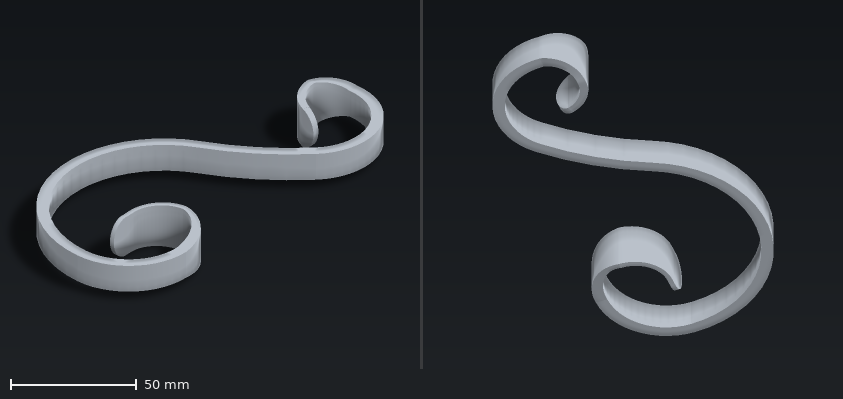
import cadquery as cq
import math

bar_thickness = 5.0
bar_height = 12.0
total_length = 170.0

big_radius = 51.0
lower_radius = 30.0
upper_radius = 29.2
lower_joint_angle = 267.7
upper_joint_angle = -45.0

hook_peak_height = 20.0
hook_tip_height = 17.8
sections_per_quarter = 6

upper_start_radii = (14.0, 14.8)
upper_end_radii = (18.0, 17.3)
upper_peak_thickness = 3.4
upper_tip_thickness = 3.0
upper_tip_start = 68.0

lower_start_radii = (17.8, 21.5)
lower_end_radius = 16.5
lower_peak_thickness = 2.4
lower_tip_thickness = 2.0
lower_tip_start_y = 31.0
lower_tip_end_y = 23.6


def polar(center, radius, angle):
    a = math.radians(angle)
    return (center[0] + radius * math.cos(a), center[1] + radius * math.sin(a))


def bar_arc(center, outer_radius, start, end):
    """Constant-section stretch of bar bent about a center."""
    inner_radius = outer_radius - bar_thickness
    middle = (start + end) / 2
    return (
        cq.Workplane("XY")
        .moveTo(*polar(center, outer_radius, start))
        .threePointArc(polar(center, outer_radius, middle), polar(center, outer_radius, end))
        .lineTo(*polar(center, inner_radius, end))
        .threePointArc(polar(center, inner_radius, middle), polar(center, inner_radius, start))
        .close()
        .extrude(bar_height / 2, both=True)
    )


def section(outer, inner, height):
    """Upright rectangle standing on the line from the outer to the inner point."""
    z = height / 2
    corners = [(*outer, -z), (*inner, -z), (*inner, z), (*outer, z)]
    return cq.Wire.makePolygon([cq.Vector(*c) for c in corners], close=True)


def quarter_sections(center, outer_radii, inner_radii, angles, heights):
    """Sections along an elliptical bend; angle and height change evenly."""
    sections = []
    for i in range(sections_per_quarter + 1):
        share = i / sections_per_quarter
        a = math.radians(angles[0] + share * (angles[1] - angles[0]))
        outer, inner = (
            (center[0] + rx * math.cos(a), center[1] + ry * math.sin(a))
            for rx, ry in (outer_radii, inner_radii)
        )
        sections.append(section(outer, inner, heights[0] + share * (heights[1] - heights[0])))
    return sections


def loft(sections):
    return cq.Workplane(cq.Solid.makeLoft(sections))


def rounded_end(plane, center, length):
    """Elliptical cylinder that rounds a hook tip of the given length."""
    return (
        cq.Workplane(plane)
        .center(center, 0)
        .ellipse(length, hook_tip_height / 2)
        .extrude(total_length, both=True)
    )


big_center = (0.0, big_radius)
upper_center = (0.0, total_length - upper_radius)
lower_center = polar(big_center, big_radius - lower_radius, lower_joint_angle)

link_direction = upper_joint_angle + 180
joint = polar(upper_center, upper_radius, upper_joint_angle)
unit = polar((0, 0), 1, link_direction)
offset = (joint[0] - big_center[0], joint[1] - big_center[1])
big_inner_radius = big_radius - bar_thickness
along = offset[0] * unit[0] + offset[1] * unit[1]
link_radius = (offset[0] ** 2 + offset[1] ** 2 - big_inner_radius ** 2) / (2 * (big_inner_radius - along))
link_center = polar(joint, link_radius, link_direction)
link_end_angle = math.degrees(math.atan2(big_center[1] - link_center[1], big_center[0] - link_center[0]))

bar = (
    bar_arc(lower_center, lower_radius, lower_joint_angle, 360)
    .union(bar_arc(big_center, big_radius, link_end_angle + 180, lower_joint_angle))
    .union(bar_arc(link_center, link_radius, link_end_angle, upper_joint_angle))
    .union(bar_arc(upper_center, upper_radius, upper_joint_angle, 90))
)


def make_upper_hook():
    """Two elliptical quarters that widen, then narrow slightly to a rounded tip."""
    start_rx, start_ry = upper_start_radii
    start_center = (upper_center[0], total_length - start_ry)
    start_inner = (start_rx - upper_peak_thickness, start_ry - bar_thickness)
    end_rx, end_ry = upper_end_radii
    end_center = (start_center[0] - start_rx + end_rx, start_center[1])
    end_inner = (end_rx - upper_peak_thickness, end_ry - upper_tip_thickness)
    tip_angle = 180 + upper_tip_start
    tip_length = -end_rx * math.cos(math.radians(tip_angle))

    widening = quarter_sections(
        start_center, upper_start_radii, start_inner, (90, 180), (bar_height, hook_peak_height)
    )
    narrowing = quarter_sections(
        end_center, upper_end_radii, end_inner, (180, tip_angle), (hook_peak_height, hook_tip_height)
    )
    tip = quarter_sections(
        end_center, upper_end_radii, end_inner, (tip_angle, 270), (hook_tip_height, hook_tip_height)
    )
    body = loft(widening + narrowing[1:])
    return body.union(loft(tip).intersect(rounded_end("XZ", end_center[0] - tip_length, tip_length)))


def make_lower_hook():
    """Elliptical quarter that widens, round quarter that narrows, then a straight rounded tip."""
    start_rx, start_ry = lower_start_radii
    start_center = (lower_center[0] + lower_radius - start_rx, lower_center[1])
    start_inner = (start_rx - bar_thickness, start_ry - lower_peak_thickness)
    end_outer = (lower_end_radius, lower_end_radius)
    end_inner = (lower_end_radius - lower_tip_thickness, lower_end_radius - lower_peak_thickness)
    end_center = (start_center[0], start_center[1] + start_ry - lower_end_radius)
    outer_x = end_center[0] - lower_end_radius
    inner_x = outer_x + lower_tip_thickness

    widening = quarter_sections(
        start_center, lower_start_radii, start_inner, (0, 90), (bar_height, hook_peak_height)
    )
    narrowing = quarter_sections(
        end_center, end_outer, end_inner, (90, 180), (hook_peak_height, hook_tip_height)
    )
    tip_start, tip_end = (
        section((outer_x, y), (inner_x, y), hook_tip_height) for y in (lower_tip_start_y, lower_tip_end_y)
    )
    tip_rounding = rounded_end("YZ", lower_tip_start_y, lower_tip_start_y - lower_tip_end_y)
    return (
        loft(widening)
        .union(loft(narrowing + [tip_start]))
        .union(loft([tip_start, tip_end]).intersect(tip_rounding))
    )


result = bar.union(make_upper_hook()).union(make_lower_hook())